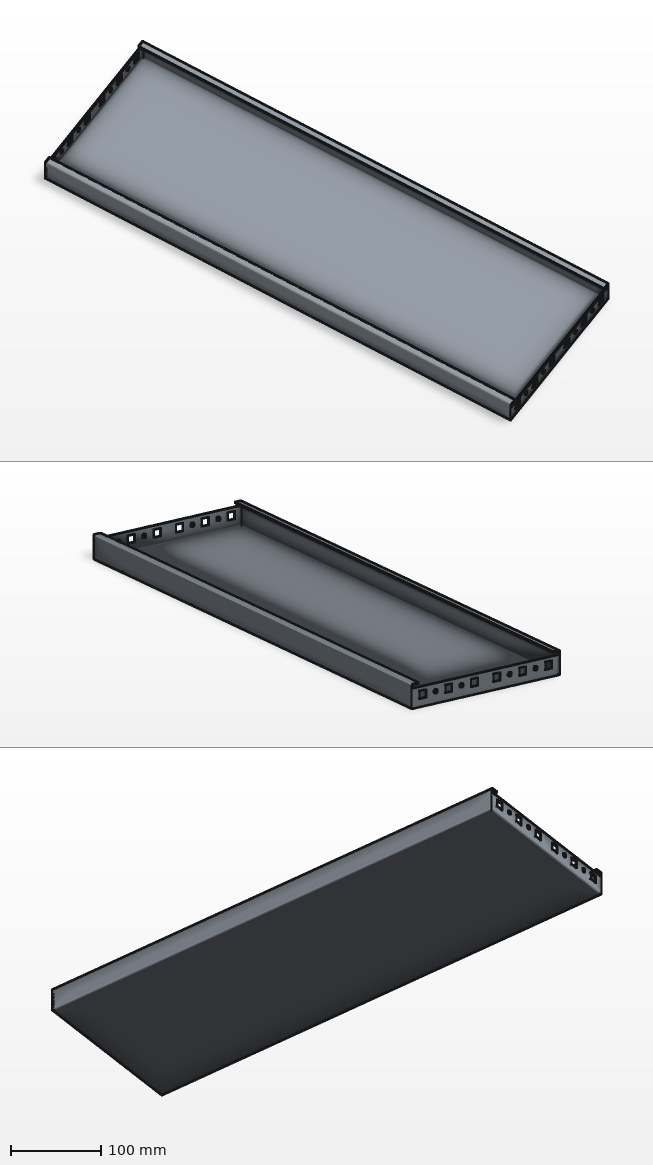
import cadquery as cq

LENGTH = 614.0
WIDTH = 200.0
HEIGHT = 30.0

SHEET = 1.5
OUTER_BEND = 2.1
INNER_BEND = OUTER_BEND - SHEET
LIP_WIDTH = 9.0
END_WALL_DROP = 5.5
END_WALL_HEIGHT = HEIGHT - END_WALL_DROP

SQUARE_SIZE = 9.0
ROUND_DIAMETER = 5.0
HOLE_HEIGHT = HEIGHT / 2
HOLE_PITCH = 35.0
MIDDLE_PITCH = 30.0
FIRST_SQUARE = MIDDLE_PITCH / 2
SQUARES_PER_SIDE = 3


def base_block(length, width, height, lift=0):
    """Block centred in X and Y, with its underside at Z = lift."""
    block = cq.Workplane("XY").box(length, width, height, centered=(True, True, False))
    return block.translate((0, 0, lift))


def channel_envelope():
    """Filled outer shape of the long channel, rounded at all four folds."""
    return base_block(LENGTH, WIDTH, HEIGHT).edges("|X").fillet(OUTER_BEND)


def end_envelope(height):
    """Filled outer shape of the end-wall fold, rounded where the floor turns up."""
    return base_block(LENGTH, WIDTH, height).edges("|Y and <Z").fillet(OUTER_BEND)


def lipped_channel():
    """Floor, long walls and inward lips as one C-shaped section along X."""
    cavity = base_block(LENGTH, WIDTH - 2 * SHEET, HEIGHT - 2 * SHEET, SHEET)
    cavity = cavity.edges("|X").fillet(INNER_BEND)
    opening = base_block(LENGTH, WIDTH - 2 * LIP_WIDTH, HEIGHT, HEIGHT / 2)
    return channel_envelope().cut(cavity).cut(opening)


def end_walls():
    """Floor and two low end walls as one U-shaped section along Y."""
    cavity = base_block(LENGTH - 2 * SHEET, WIDTH, HEIGHT, SHEET)
    cavity = cavity.edges("|Y and <Z").fillet(INNER_BEND)
    return end_envelope(END_WALL_HEIGHT).cut(cavity)


def end_wall_holes():
    """Square holes with a round hole midway between neighbours, through both end walls."""
    squares = []
    rounds = []
    for side in (-1, 1):
        for index in range(SQUARES_PER_SIDE):
            position = FIRST_SQUARE + index * HOLE_PITCH
            squares.append((side * position, HOLE_HEIGHT))
            if index < SQUARES_PER_SIDE - 1:
                rounds.append((side * (position + HOLE_PITCH / 2), HOLE_HEIGHT))
    plane = cq.Workplane("YZ")
    square_cuts = plane.pushPoints(squares).rect(SQUARE_SIZE, SQUARE_SIZE).extrude(LENGTH / 2, both=True)
    round_cuts = plane.pushPoints(rounds).circle(ROUND_DIAMETER / 2).extrude(LENGTH / 2, both=True)
    return square_cuts.union(round_cuts)


channel = lipped_channel().intersect(end_envelope(HEIGHT))
ends = end_walls().intersect(channel_envelope())
result = channel.union(ends).cut(end_wall_holes())